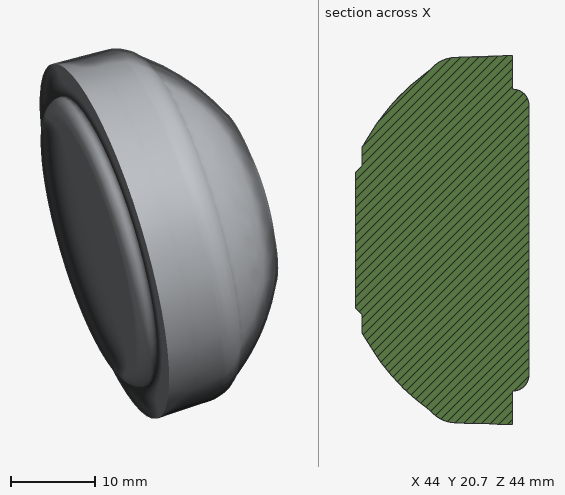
import cadquery as cq

rim_radius = 22.0
wall_top_radius = 21.8
wall_height = 6.8

shoulder_arc_radius = 4.0
dome_base_radius = 20.35
dome_base_height = 9.75

dome_arc_radius = 27.3
dome_top_radius = 11.0
boss_height = 0.75
boss_base_radius = 8.8
boss_top_radius = boss_base_radius - boss_height

pad_depth = 2.0
pad_radius = 18.0
pad_round = pad_depth

total_depth = 20.7
boss_top = total_depth - pad_depth
dome_top = boss_top - boss_height


def make_body():
    """Tapered wall, rounded shoulder, dome and end boss in one revolve."""
    profile = (
        cq.Workplane("XY")
        .lineTo(rim_radius, 0)
        .lineTo(wall_top_radius, wall_height)
        .radiusArc((dome_base_radius, dome_base_height), -shoulder_arc_radius)
        .radiusArc((dome_top_radius, dome_top), -dome_arc_radius)
        .lineTo(boss_base_radius, dome_top)
        .lineTo(boss_top_radius, boss_top)
        .lineTo(0, boss_top)
        .close()
    )
    return profile.revolve(360, (0, 0, 0), (0, 1, 0))


def make_pad():
    """Disc below the rim face with a quarter-round outer edge."""
    profile = (
        cq.Workplane("XY")
        .lineTo(pad_radius, 0)
        .radiusArc((pad_radius - pad_round, -pad_depth), pad_round)
        .lineTo(0, -pad_depth)
        .close()
    )
    return profile.revolve(360, (0, 0, 0), (0, 1, 0))


result = make_body().union(make_pad())